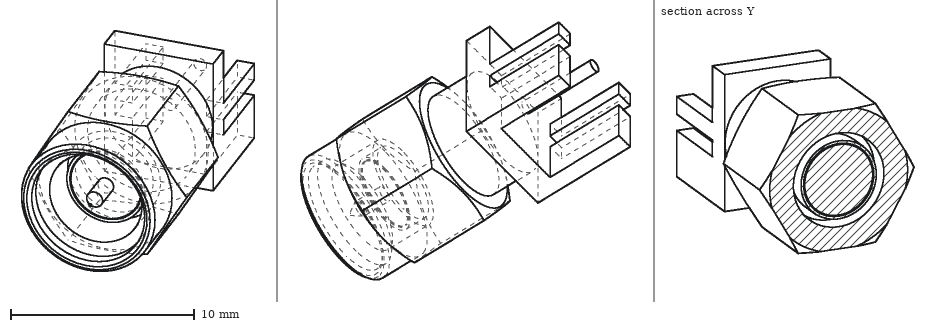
import cadquery as cq


hex_front = 2.83
hex_back = 8.38
flange_front = 11.06
flange_back = 12.69
overall_length = 17.45

sleeve_diameter = 7.8
rim_chamfer = 0.21
hex_across_corners = 9.25
hex_bevel_length = 0.37

mouth_diameter = 7.01
mouth_bevel_depth = 0.21
throat_diameter = 6.6
throat_depth = 0.84
floor_diameter = 5.4
taper_end = 1.36
floor_depth = 4.19

tube_front = 2.9
tube_outer_diameter = 4.54
tube_inner_diameter = 4.17
insulator_diameter = 4.1
insulator_gap_depth = 0.09

contact_diameter = 0.92
contact_tip_diameter = 0.14
contact_tip_y = 0.54
contact_cone_length = 0.66

neck_diameter = 6.3
flange_width = 6.35
flange_height = 7.92
leg_width = 1.01
upper_leg_top = 0.68
upper_leg_bottom = -0.35
lower_leg_top = -1.3
tail_diameter = 0.75


def cylinder(diameter, start, end):
    """Round bar on the connector axis between two Y stations."""
    return cq.Workplane("XZ", origin=(0, start, 0)).circle(diameter / 2).extrude(start - end)


def revolved(profile):
    """Solid of revolution about Y from (radius, y) points."""
    return cq.Workplane("XY").polyline(profile).close().revolve(360, (0, 0, 0), (0, 1, 0))


def box(x_min, x_max, y_min, y_max, z_min, z_max):
    """Block given by its limits along each axis."""
    size = (x_max - x_min, y_max - y_min, z_max - z_min)
    return cq.Workplane("XY").box(*size, centered=False).translate((x_min, y_min, z_min))


def make_hex():
    """Hexagon with its corners bevelled by a cone at each end."""
    prism = (
        cq.Workplane("XZ", origin=(0, hex_front, 0))
        .polygon(6, hex_across_corners)
        .extrude(hex_front - hex_back)
    )
    end_radius = sleeve_diameter / 2
    corner_radius = hex_across_corners / 2
    envelope = revolved([
        (0, hex_front),
        (end_radius, hex_front),
        (corner_radius, hex_front + hex_bevel_length),
        (corner_radius, hex_back - hex_bevel_length),
        (end_radius, hex_back),
        (0, hex_back),
    ])
    return prism.intersect(envelope)


def make_bore():
    """Bevelled mouth, throat, taper and straight bore of the nut."""
    return revolved([
        (0, 0),
        (mouth_diameter / 2, 0),
        (throat_diameter / 2, mouth_bevel_depth),
        (throat_diameter / 2, throat_depth),
        (floor_diameter / 2, taper_end),
        (floor_diameter / 2, floor_depth),
        (0, floor_depth),
    ])


def make_tube():
    """Filled tube whose end face has a narrow gap around the insulator."""
    gap_floor = tube_front + insulator_gap_depth
    gap = cylinder(tube_inner_diameter, tube_front, gap_floor).cut(
        cylinder(insulator_diameter, tube_front, gap_floor)
    )
    return cylinder(tube_outer_diameter, tube_front, hex_back).cut(gap)


def make_contact():
    """Centre pin with a blunt conical tip."""
    radius = contact_diameter / 2
    return revolved([
        (0, contact_tip_y),
        (contact_tip_diameter / 2, contact_tip_y),
        (radius, contact_tip_y + contact_cone_length),
        (radius, hex_back),
        (0, hex_back),
    ])


def make_legs():
    """Two forked legs at the sides of the flange, slotted for a circuit board."""
    outer = flange_width / 2
    legs = cq.Workplane("XY")
    for x_min in (-outer, outer - leg_width):
        for z_min, z_max in ((upper_leg_bottom, upper_leg_top), (-flange_height / 2, lower_leg_top)):
            legs = legs.add(box(x_min, x_min + leg_width, flange_back, overall_length, z_min, z_max))
    return legs.combine()


sleeve = cylinder(sleeve_diameter, 0, hex_back).faces("<Y").chamfer(rim_chamfer)
flange = box(
    -flange_width / 2, flange_width / 2,
    flange_front, flange_back,
    -flange_height / 2, flange_height / 2,
)

body = sleeve.union(make_hex()).cut(make_bore())
body = body.union(make_tube())
body = body.union(make_contact())
body = body.union(cylinder(neck_diameter, hex_back, flange_front))
body = body.union(flange)
body = body.union(make_legs())
result = body.union(cylinder(tail_diameter, flange_back, overall_length))